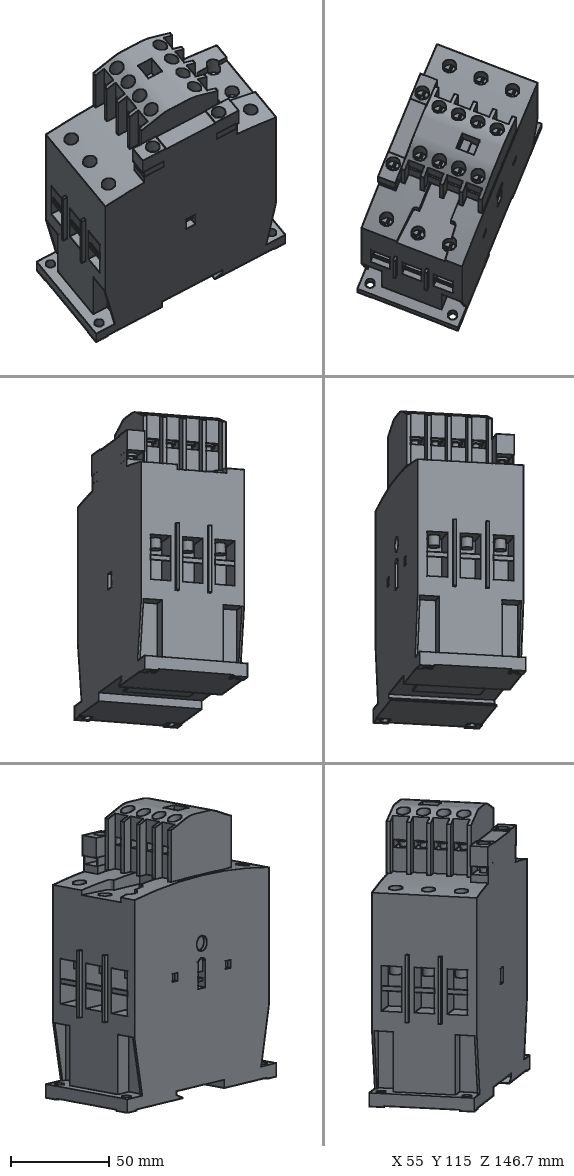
import cadquery as cq
import math

width = 55.0
plate_half_length = 57.5
plate_top_z = 7.1
foot_height = 0.6
foot_width = 7.6
foot_length = 7.2
mount_hole_diameter = 4.8
mount_hole_x_inset = 5.0
mount_hole_y = 52.4

notch_ceiling_z = 5.0
notch_hook_y = 19.4
notch_plain_y = -17.35
hook_root_z = 3.1
hook_tip_z = 1.0
hook_tip_y = 14.7
notch_pad_half_length = 8.0
notch_pad_height = 0.9
notch_pad_inset = 10.0

body_half_length = 51.9
shoulder_z = 109.7
crown_z = 114.0
corner_top_z = 38.2
corner_width = 11.2
corner_depth = 8.5
corner_wall = 1.2
taper_run = 6.0

screw_diameter = 7.0
screw_slot_length = 6.0
screw_slot_width = 1.0
screw_slot_depth = 1.0
pole_pitch = 17.2
pole_y = 43.2
pole_screw_top_z = 100.0
pole_xs = [width / 2 + i * pole_pitch for i in (-1, 0, 1)]
window_width = 10.6
window_bottom_z = 48.6
window_top_z = 72.1
window_depth = 14.0
terminal_plate_bottom_z = 59.1
terminal_plate_top_z = 61.6
terminal_plate_setback = 0.3
terminal_plate_thickness = 0.8
clamp_diameter = 6.0
clamp_bottom_z = 66.6
fin_thickness = 1.4
fin_height = 2.3
fin_bottom_z = 43.8
fin_top_z = 78.6

side_depth = 2.0
side_hole_diameter = 7.9
side_hole_z = 78.7
side_slot_width = 5.7
side_slot_bottom_z = 55.4
side_slot_shoulder_z = 69.4
side_slot_top_z = 71.1
through_slot_top_z = 63.5
slot_bar_bottom_z = 58.5
slot_bar_top_z = 60.0
slot_bar_inset = 2.0
side_square_y = 20.5
side_square_width = 3.9
side_square_height = 4.2
side_square_z = 64.4

coil_left_x = 45.7
coil_top_z = 131.7
coil_overhang_z = 121.2
coil_half_length = 29.1
coil_overhang = 1.0
coil_saddle_half_length = 15.0
coil_saddle_depth = 0.5
coil_screw_y = 20.0
coil_cavity_bottom_z = 116.7
coil_cavity_wall = 0.5
coil_head_hang = 1.5

aux_left_x = 0.4
aux_poles = 4
aux_pole_pitch = 10.56
aux_rib_thickness = 2.05
aux_width = aux_poles * aux_pole_pitch + aux_rib_thickness
aux_mid_x = aux_left_x + aux_width / 2
aux_bottom_z = 114.3
aux_top_z = 146.7
aux_half_length = 23.3
aux_flat_half_length = 5.55
aux_arc_half_length = 11.5
aux_slope = math.radians(20.8)
aux_pocket_y = 18.1
aux_screw_y = 13.2
aux_cavity_bottom_z = 126.75
aux_cavity_top_z = 130.8
aux_cavity_wall = 0.5
aux_head_hang = 1.1
indicator_left_x = 12.5
indicator_step_x = 17.05
indicator_lip_x = 21.5
indicator_right_x = 22.2
indicator_half_length = 4.15
indicator_depth = 12.0
indicator_step_depth = 10.0
indicator_lip_depth = 8.5

head_height = 3.5
shank_diameter = 3.6
cavity_behind_screw = 4.0

seat_half_length = 12.3
seat_floor_z = 112.7
seat_left_x = aux_left_x + 0.5
channel_floor_z = 107.2
channel_half_width = 8.55
channel_jog_y = 32.2
channel_jog_half_width = 10.0
channel_jog_radius = 1.7
channel_end_half_width = 13.2


def box(x0, x1, y0, y1, z0, z1):
    return cq.Workplane("XY").box(x1 - x0, y1 - y0, z1 - z0, centered=False).translate((x0, y0, z0))


def cylinder(x, y, diameter, z0, z1):
    return cq.Workplane("XY", origin=(x, y, z0)).circle(diameter / 2).extrude(z1 - z0)


def both_ends(shape):
    """The shape at the -Y end together with its mirror at the +Y end."""
    return shape.union(shape.mirror("XZ"))


def screw_access(x, y, head_top_z, surface_z):
    """Round shaft down to a screw head, with the cross recess in that head."""
    half_length = screw_slot_length / 2
    half_width = screw_slot_width / 2
    slot_z = head_top_z - screw_slot_depth
    shaft = cylinder(x, y, screw_diameter, head_top_z, surface_z)
    along_x = box(x - half_length, x + half_length, y - half_width, y + half_width, slot_z, head_top_z)
    along_y = box(x - half_width, x + half_width, y - half_length, y + half_length, slot_z, head_top_z)
    return shaft.union(along_x).union(along_y)


def screw_cavity(x, screw_y, cavity_width, opening_y, bottom_z, top_z, head_hang):
    """Wire opening at the -Y end, leaving the screw head and shank standing inside it."""
    cavity = box(
        x - cavity_width / 2, x + cavity_width / 2,
        opening_y, -screw_y + cavity_behind_screw,
        bottom_z, top_z,
    )
    head = cylinder(x, -screw_y, screw_diameter, top_z - head_hang, top_z)
    shank = cylinder(x, -screw_y, shank_diameter, bottom_z, top_z)
    return cavity.cut(head).cut(shank)



def crown_profile():
    return (
        cq.Workplane("YZ")
        .moveTo(-body_half_length, foot_height)
        .lineTo(body_half_length, foot_height)
        .lineTo(body_half_length, shoulder_z)
        .threePointArc((0, crown_z), (-body_half_length, shoulder_z))
        .close()
    )


def base_plate():
    plate = box(0, width, -plate_half_length, plate_half_length, foot_height, plate_top_z)
    for x in (0, width - foot_width):
        foot = box(x, x + foot_width, -plate_half_length, foot_length - plate_half_length, 0, plate_top_z)
        plate = plate.union(both_ends(foot))
    return plate


def mount_holes():
    holes = cq.Workplane("XY")
    for x in (mount_hole_x_inset, width - mount_hole_x_inset):
        holes = holes.union(both_ends(cylinder(x, -mount_hole_y, mount_hole_diameter, 0, plate_top_z)))
    return holes


def rail_notch():
    notch = (
        cq.Workplane("YZ")
        .moveTo(notch_plain_y, 0)
        .lineTo(notch_plain_y, notch_ceiling_z)
        .lineTo(notch_hook_y, notch_ceiling_z)
        .lineTo(notch_hook_y, hook_root_z)
        .lineTo(hook_tip_y, hook_tip_z)
        .lineTo(hook_tip_y, 0)
        .close()
        .extrude(width)
    )
    pad = box(
        notch_pad_inset, width - notch_pad_inset, -notch_pad_half_length, notch_pad_half_length,
        notch_ceiling_z - notch_pad_height, notch_ceiling_z,
    )
    return notch.cut(pad)


def corner_reliefs():
    """Pockets at the lower corners, and the tapered edge of the thin wall outside each one."""
    end_y = -body_half_length
    taper = (
        cq.Workplane("YZ")
        .moveTo(end_y, corner_top_z)
        .lineTo(end_y, plate_top_z)
        .lineTo(end_y + taper_run, plate_top_z)
        .close()
        .extrude(corner_width)
    )
    pocket = box(corner_wall, corner_width, end_y, end_y + corner_depth, plate_top_z, corner_top_z)
    left = both_ends(taper.union(pocket))
    right = left.mirror("YZ").translate((width, 0, 0))
    return left.union(right)


def terminal_window(x):
    """Opening at the -Y end that leaves the terminal plate and clamp screw standing."""
    left = x - window_width / 2
    right = x + window_width / 2
    end_y = -body_half_length
    window = box(left, right, end_y, end_y + window_depth, window_bottom_z, window_top_z)
    plate_y = end_y + terminal_plate_setback
    plate = box(
        left, right, plate_y, plate_y + terminal_plate_thickness,
        terminal_plate_bottom_z, terminal_plate_top_z,
    )
    clamp = cylinder(x, -pole_y, clamp_diameter, clamp_bottom_z, window_top_z)
    return both_ends(window.cut(plate).cut(clamp))


def phase_fins():
    fins = cq.Workplane("XY")
    for side in (-1, 1):
        x = width / 2 + side * pole_pitch / 2
        fin = box(
            x - fin_thickness / 2, x + fin_thickness / 2,
            -body_half_length - fin_height, -body_half_length,
            fin_bottom_z, fin_top_z,
        )
        fins = fins.union(both_ends(fin))
    return fins


def side_openings():
    half_slot = side_slot_width / 2
    cuts = (
        cq.Workplane("YZ")
        .moveTo(-half_slot, side_slot_bottom_z)
        .lineTo(half_slot, side_slot_bottom_z)
        .lineTo(half_slot, side_slot_shoulder_z)
        .threePointArc((0, side_slot_top_z), (-half_slot, side_slot_shoulder_z))
        .close()
        .extrude(side_depth)
    )
    through = box(0, width, -half_slot, half_slot, side_slot_bottom_z, through_slot_top_z)
    bar = box(
        slot_bar_inset, width - slot_bar_inset, -half_slot, half_slot,
        slot_bar_bottom_z, slot_bar_top_z,
    )
    hole = cq.Workplane("YZ").center(0, side_hole_z).circle(side_hole_diameter / 2).extrude(side_depth)
    squares = (
        cq.Workplane("YZ")
        .pushPoints([(-side_square_y, side_square_z), (side_square_y, side_square_z)])
        .rect(side_square_width, side_square_height)
        .extrude(side_depth)
    )
    return cuts.union(through).cut(bar).union(hole).union(squares)


def coil_block():
    """Raised block for the two coil terminals, standing on the crown."""
    lower_half = coil_half_length - coil_overhang
    block = box(coil_left_x, width, -lower_half, lower_half, shoulder_z, coil_overhang_z)
    block = block.union(
        box(coil_left_x, width, -coil_half_length, coil_half_length, coil_overhang_z, coil_top_z)
    )
    saddle = box(
        coil_left_x, width, -coil_saddle_half_length, coil_saddle_half_length,
        coil_top_z - coil_saddle_depth, coil_top_z,
    )
    x = (coil_left_x + width) / 2
    cavity_width = width - coil_left_x - 2 * coil_cavity_wall
    cavity = screw_cavity(
        x, coil_screw_y, cavity_width, -coil_half_length,
        coil_cavity_bottom_z, coil_overhang_z, coil_head_hang,
    )
    access = screw_access(x, -coil_screw_y, coil_overhang_z - coil_head_hang + head_height, coil_top_z)
    return block.cut(saddle).cut(both_ends(cavity.union(access)))


def rear_channel():
    """Level channel that opens at the +Y shoulder and runs to the seat of the auxiliary block."""
    corner_y = channel_jog_y + channel_jog_radius
    corner_x = channel_jog_half_width + channel_jog_radius
    bulge = channel_jog_radius * (1 - math.sqrt(0.5))
    return (
        cq.Workplane("XY", origin=(aux_mid_x, 0, channel_floor_z))
        .moveTo(-channel_half_width, seat_half_length)
        .lineTo(-channel_half_width, channel_jog_y)
        .lineTo(-channel_jog_half_width, channel_jog_y)
        .threePointArc((bulge - corner_x, channel_jog_y + bulge), (-corner_x, corner_y))
        .lineTo(-channel_end_half_width, body_half_length)
        .lineTo(channel_end_half_width, body_half_length)
        .lineTo(corner_x, corner_y)
        .threePointArc((corner_x - bulge, channel_jog_y + bulge), (channel_jog_half_width, channel_jog_y))
        .lineTo(channel_half_width, channel_jog_y)
        .lineTo(channel_half_width, seat_half_length)
        .close()
        .extrude(crown_z - channel_floor_z)
    )


def make_contactor():
    body = base_plate().union(crown_profile().extrude(width))
    body = body.cut(corner_reliefs()).cut(mount_holes()).cut(rail_notch())
    body = body.cut(box(seat_left_x, coil_left_x, -seat_half_length, seat_half_length, seat_floor_z, crown_z))
    body = body.cut(rear_channel())
    for x in pole_xs:
        body = body.cut(terminal_window(x))
        body = body.cut(both_ends(screw_access(x, -pole_y, pole_screw_top_z, crown_z)))
    return body.cut(side_openings()).union(phase_fins()).union(coil_block())



def aux_blank():
    """Block with a flat top that rolls over into a straight slope at each end."""
    arc_radius = (aux_arc_half_length - aux_flat_half_length) / math.sin(aux_slope)
    arc_end_z = aux_top_z - arc_radius * (1 - math.cos(aux_slope))
    arc_mid_y = aux_flat_half_length + arc_radius * math.sin(aux_slope / 2)
    arc_mid_z = aux_top_z - arc_radius * (1 - math.cos(aux_slope / 2))
    eave_z = arc_end_z - (aux_half_length - aux_arc_half_length) * math.tan(aux_slope)
    return (
        cq.Workplane("YZ", origin=(aux_left_x, 0, 0))
        .moveTo(-aux_half_length, aux_bottom_z)
        .lineTo(-aux_half_length, eave_z)
        .lineTo(-aux_arc_half_length, arc_end_z)
        .threePointArc((-arc_mid_y, arc_mid_z), (-aux_flat_half_length, aux_top_z))
        .lineTo(aux_flat_half_length, aux_top_z)
        .threePointArc((arc_mid_y, arc_mid_z), (aux_arc_half_length, arc_end_z))
        .lineTo(aux_half_length, eave_z)
        .lineTo(aux_half_length, aux_bottom_z)
        .close()
        .extrude(aux_width)
    )


def aux_pole(x):
    """Open pocket between two ribs, its wire opening and its screw shaft, at both ends."""
    pocket_width = aux_pole_pitch - aux_rib_thickness
    pocket = box(
        x - pocket_width / 2, x + pocket_width / 2,
        -aux_half_length, -aux_pocket_y,
        aux_bottom_z, aux_top_z,
    )
    cavity = screw_cavity(
        x, aux_screw_y, pocket_width - 2 * aux_cavity_wall, -aux_pocket_y,
        aux_cavity_bottom_z, aux_cavity_top_z, aux_head_hang,
    )
    access = screw_access(x, -aux_screw_y, aux_cavity_top_z - aux_head_hang + head_height, aux_top_z)
    return both_ends(pocket.union(cavity).union(access))


def indicator_window():
    """Window in the flat top with a stepped floor."""
    steps = [
        (indicator_left_x, indicator_step_x, indicator_depth),
        (indicator_step_x, indicator_lip_x, indicator_step_depth),
        (indicator_lip_x, indicator_right_x, indicator_lip_depth),
    ]
    window = cq.Workplane("XY")
    for x0, x1, depth in steps:
        step = box(x0, x1, -indicator_half_length, indicator_half_length, aux_top_z - depth, aux_top_z)
        window = window.union(step)
    return window


def make_auxiliary_block():
    block = aux_blank().cut(indicator_window())
    for i in range(aux_poles):
        block = block.cut(aux_pole(aux_left_x + aux_rib_thickness / 2 + (i + 0.5) * aux_pole_pitch))
    foot = box(
        seat_left_x, aux_left_x + aux_width, -seat_half_length, seat_half_length,
        seat_floor_z, aux_bottom_z,
    )
    return block.union(foot)


contactor = make_contactor()
auxiliary_block = make_auxiliary_block()

result = cq.Compound.makeCompound([contactor.solids().val(), auxiliary_block.solids().val()])